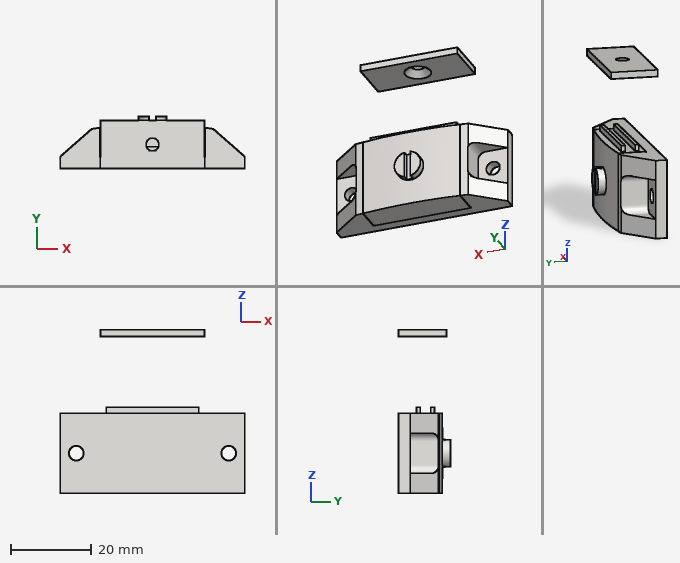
import cadquery as cq
import math

housing_length = 46.0
housing_height = 20.0
flange_thickness = 3.0
crown_depth = 11.0
shoulder_half_width = 15.1
shoulder_depth = 9.93
mid_height = housing_height / 2

hole_spacing = 38.0
hole_diameter = 3.6
pocket_inner_x = 15.0
pocket_height = 10.0
pocket_corner_radius = 2.0

insert_length = 26.0
channel_clearance = 0.1
channel_floor = flange_thickness

rail_length = 23.1
rail_width = 1.0
rail_height = 1.5
rail_centres_y = (5.0, 8.5)

boss_diameter = 7.0
boss_end_y = 13.0
boss_slot_width = 1.65
boss_slot_depth = 1.5

cover_length = insert_length
cover_width = 12.0
cover_thickness = 1.75
cover_bottom_z = 39.05
cover_hole_diameter = 3.2
countersink_half_angle = 45.0


def crowned_block():
    """Full-height block with the outline of the housing."""
    half_length = housing_length / 2
    return (
        cq.Workplane("XY")
        .moveTo(-half_length, 0)
        .lineTo(half_length, 0)
        .lineTo(half_length, flange_thickness)
        .lineTo(shoulder_half_width, shoulder_depth)
        .threePointArc((0, crown_depth), (-shoulder_half_width, shoulder_depth))
        .lineTo(-half_length, flange_thickness)
        .close()
        .extrude(housing_height)
    )


def channel_block(length):
    """Full-height block of the given length, from the channel floor past the back."""
    return (
        cq.Workplane("XY")
        .rect(length, crown_depth)
        .extrude(housing_height)
        .translate((0, channel_floor + crown_depth / 2, 0))
    )


def screw_pocket(side):
    """Pocket behind the flange on one side, open outward, with rounded inner corners."""
    pocket_length = housing_length / 2 - pocket_inner_x
    inner_face = "<X" if side > 0 else ">X"
    return (
        cq.Workplane("XY")
        .box(pocket_length, crown_depth, pocket_height)
        .faces(inner_face)
        .edges("|Y")
        .fillet(pocket_corner_radius)
        .translate((
            side * (pocket_inner_x + pocket_length / 2),
            flange_thickness + crown_depth / 2,
            mid_height,
        ))
    )


def cylinder_along_y(x, diameter, start_y, end_y):
    """Cylinder at mid height, parallel to Y."""
    return cq.Workplane(
        cq.Solid.makeCylinder(
            diameter / 2,
            end_y - start_y,
            cq.Vector(x, start_y, mid_height),
            cq.Vector(0, 1, 0),
        )
    )


def make_housing():
    body = crowned_block().cut(channel_block(insert_length + 2 * channel_clearance))
    for side in (-1, 1):
        body = body.cut(screw_pocket(side))
        body = body.cut(cylinder_along_y(side * hole_spacing / 2, hole_diameter, 0, flange_thickness))
    return body


def make_boss():
    boss = cylinder_along_y(0, boss_diameter, channel_floor, boss_end_y)
    slot = (
        cq.Workplane("XY")
        .box(boss_slot_width, boss_slot_depth, boss_diameter)
        .translate((0, boss_end_y - boss_slot_depth / 2, mid_height))
    )
    return boss.cut(slot)


def make_insert():
    body = crowned_block().intersect(channel_block(insert_length))
    for rail_y in rail_centres_y:
        rail = (
            cq.Workplane("XY", origin=(0, rail_y, housing_height))
            .rect(rail_length, rail_width)
            .extrude(rail_height)
        )
        body = body.union(rail)
    return body.union(make_boss())


def make_cover():
    top_radius = cover_hole_diameter / 2
    bottom_radius = top_radius + cover_thickness * math.tan(math.radians(countersink_half_angle))
    plate = (
        cq.Workplane("XY", origin=(0, cover_width / 2, cover_bottom_z))
        .rect(cover_length, cover_width)
        .extrude(cover_thickness)
    )
    countersunk_hole = cq.Workplane(
        cq.Solid.makeCone(
            bottom_radius,
            top_radius,
            cover_thickness,
            cq.Vector(0, cover_width / 2, cover_bottom_z),
        )
    )
    return plate.cut(countersunk_hole)


housing = make_housing()
insert = make_insert()
cover = make_cover()

result = cq.Compound.makeCompound([housing.val(), insert.val(), cover.val()])